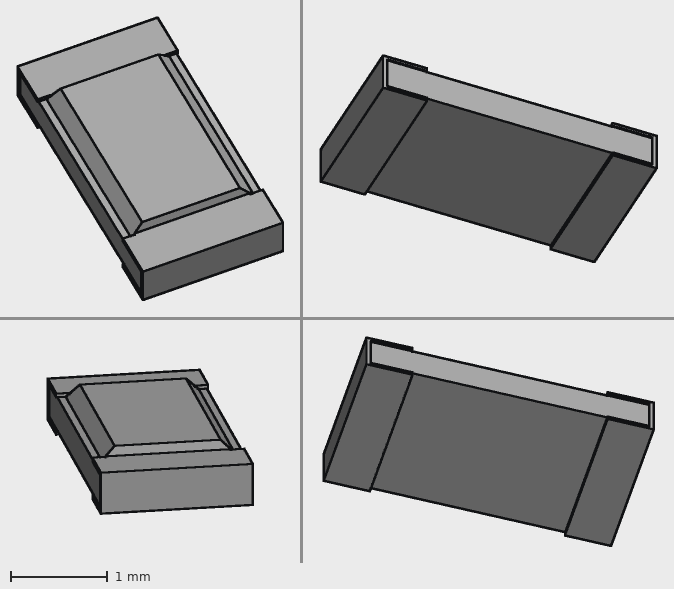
import cadquery as cq

length = 3.1
cap_width = 1.6
total_height = 0.55

cap_length = 0.5
cap_height = 0.45
cap_end_thickness = 0.05
cap_plate_thickness = 0.04

body_width = 1.575
body_length = length - 2 * cap_end_thickness
body_height = cap_height - 2 * cap_plate_thickness
body_top = cap_plate_thickness + body_height

cover_base_length = length - 2 * cap_length
cover_base_width = 1.4
cover_top_length = 2.015
cover_top_width = 1.115
cover_height = total_height - body_top


def make_body():
    """Rectangular chip body, raised by the lower cap plates."""
    return (
        cq.Workplane("XY")
        .workplane(offset=cap_plate_thickness)
        .box(body_length, body_width, body_height, centered=(True, True, False))
    )


def make_cap(side):
    """End cap on the -X (side = -1) or +X (side = 1) end."""
    outer_x = side * length / 2
    wall_x = side * body_length / 2
    inner_x = side * (length / 2 - cap_length)
    profile = [
        (inner_x, 0),
        (outer_x, 0),
        (outer_x, cap_height),
        (inner_x, cap_height),
        (inner_x, body_top),
        (wall_x, body_top),
        (wall_x, cap_plate_thickness),
        (inner_x, cap_plate_thickness),
    ]
    return cq.Workplane("XZ").polyline(profile).close().extrude(cap_width / 2, both=True)


def make_cover():
    """Cover with four sloping sides and a flat top."""
    return (
        cq.Workplane("XY")
        .workplane(offset=body_top)
        .rect(cover_base_length, cover_base_width)
        .workplane(offset=cover_height)
        .rect(cover_top_length, cover_top_width)
        .loft(ruled=True)
    )


def make_cover_seat():
    """Block level with the cap tops that closes the wedge gaps between the cover ends and the caps."""
    taper = (cover_base_width - cover_top_width) * cap_plate_thickness / cover_height
    return (
        cq.Workplane("XY")
        .workplane(offset=body_top)
        .box(cover_base_length, cover_base_width - taper, cap_plate_thickness, centered=(True, True, False))
    )


result = make_body().union(make_cover()).union(make_cover_seat())
for side in (-1, 1):
    result = result.union(make_cap(side))